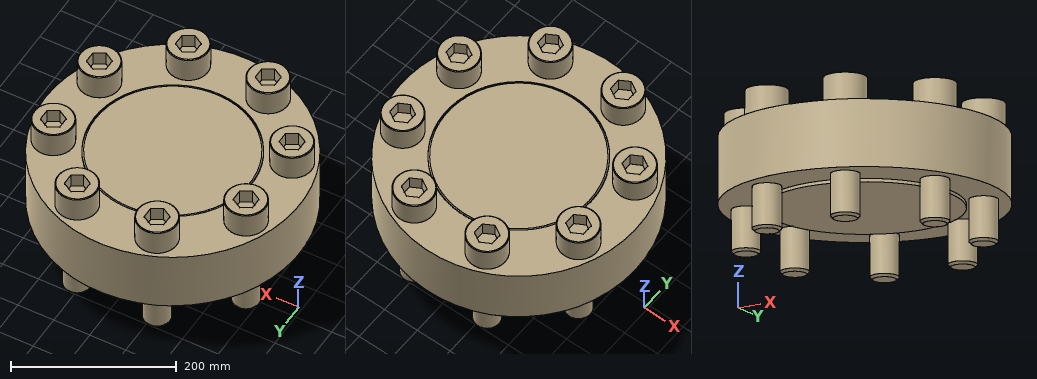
import cadquery as cq
import math

flange_diameter = 355.0
flange_height = 85.0
raised_face_diameter = 245.0
raised_face_height = 4.3

plug_diameter = 219.0
plug_chamfer = 2.0

screw_count = 8
screw_circle_diameter = 290.0
shank_diameter = 36.0
shank_projection = 55.5
shank_chamfer = 3.2
head_diameter = 54.0
head_height = shank_diameter
head_chamfer = 1.0
socket_across_flats = 27.0
socket_depth = 19.0


def make_flange():
    """Round body with a raised face below it."""
    body = cq.Workplane("XY").circle(flange_diameter / 2).extrude(flange_height)
    raised_face = cq.Workplane("XY").circle(raised_face_diameter / 2).extrude(-raised_face_height)
    return body.union(raised_face)


def make_plug_groove():
    """Triangular ring: upright outer wall, inner wall sloped as the plug's chamfer."""
    plug_radius = plug_diameter / 2
    profile = cq.Workplane("XZ").polyline([
        (plug_radius - plug_chamfer, flange_height),
        (plug_radius, flange_height - plug_chamfer),
        (plug_radius, flange_height),
    ]).close()
    return profile.revolve(360, (0, 0), (0, 1))


def make_screw():
    """Screw on the Z axis, its head seated on the flange top and its tip below the flange."""
    shank_length = flange_height + shank_projection
    shank = (
        cq.Workplane("XY", origin=(0, 0, -shank_projection))
        .circle(shank_diameter / 2)
        .extrude(shank_length)
        .faces("<Z").chamfer(shank_chamfer)
    )
    head = (
        cq.Workplane("XY", origin=(0, 0, flange_height))
        .circle(head_diameter / 2)
        .extrude(head_height)
        .faces(">Z").chamfer(head_chamfer)
    )
    across_corners = socket_across_flats / math.cos(math.pi / 6)
    socket = (
        cq.Workplane("XY", origin=(0, 0, flange_height + head_height))
        .polygon(6, across_corners)
        .extrude(-socket_depth)
        .rotate((0, 0, 0), (0, 0, 1), 90)
    )
    return shank.union(head).cut(socket)


result = make_flange().cut(make_plug_groove())

screw = make_screw()
screw_pitch = 2 * math.pi / screw_count
for index in range(screw_count):
    angle = (index + 0.5) * screw_pitch
    x = screw_circle_diameter / 2 * math.cos(angle)
    y = screw_circle_diameter / 2 * math.sin(angle)
    result = result.union(screw.translate((x, y, 0)))